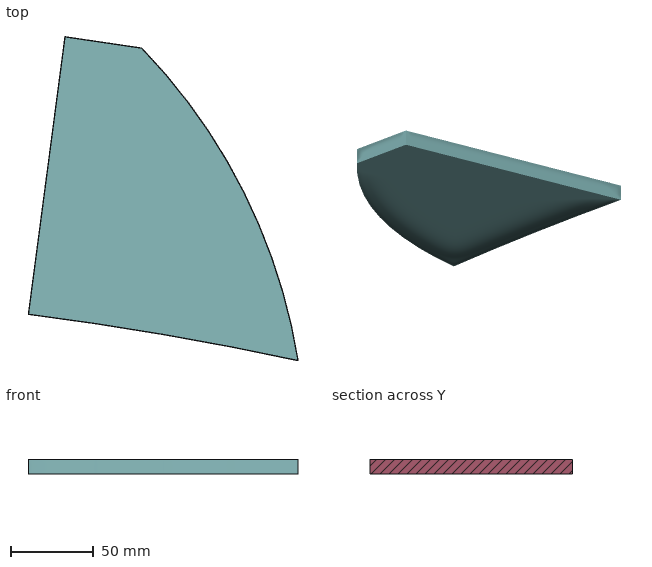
import cadquery as cq

width = 163.1
depth = 195.8
thickness = 9.0

inner_corner_y = 28.0
top_left_x = 22.1
top_right_x = 68.5
top_edge_drop = 6.9

outer_edge_bulge = 16.3
lower_edge_bow = 1.8

inner_corner = (0, inner_corner_y)
top_left = (top_left_x, depth)
top_right = (top_right_x, depth - top_edge_drop)
lower_tip = (width, 0)

result = (
    cq.Workplane("XY")
    .moveTo(*inner_corner)
    .lineTo(*top_left)
    .lineTo(*top_right)
    .sagittaArc(lower_tip, outer_edge_bulge)
    .sagittaArc(inner_corner, -lower_edge_bow)
    .close()
    .extrude(thickness)
)